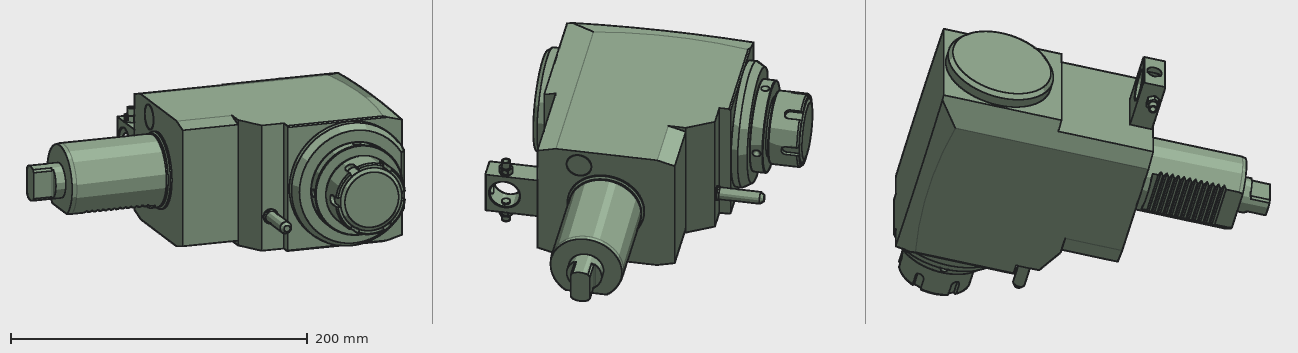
import cadquery as cq
import math


HALF_HEIGHT = 44.0
BACK_Y = 148.0
SPINDLE_Y = 110.0
STEP_Y = 66.0
LEFT_WIDE_X = -55.0
LEFT_X = -47.0
RIGHT_WIDE_X = 73.0
RIGHT_MID_X = 65.2
RIGHT_X = 47.2
SHOULDER_TOP_Y = 50.1
SHOULDER_LOW_Y = 39.7
BEVEL_SLOPE = math.tan(math.radians(15))
LEFT_BEVEL_X = -34.5
RIGHT_BEVEL_X = 35.0
BACK_BEVEL_END_Y = 134.7
BACK_BEVEL_MID_Y = 139.6
EDGE_BEVEL_LENGTH = 1.2
EDGE_BEVEL_DROP = 0.9
PLUG_X = -18.5
PLUG_Z = 32.2
PLUG_RADIUS = 8.6
PLUG_GROOVE_WIDTH = 0.2
PLUG_GROOVE_DEPTH = 0.2

CAP_X = -64.5
CAP_RADIUS = 36.7
CAP_CHAMFER_LENGTH = 3.2
CAP_CHAMFER_DEPTH = 2.5

FLANGE_RADIUS = 43.0
FLANGE_CHAMFER_X = 77.5
FLANGE_END_X = 83.4
FLANGE_END_RADIUS = 39.5
FLANGE_FLAT_DROP = 4.3
RING_RADIUS = 31.5
RING_END_X = 92.6
RING_CHAMFER = 0.5
RING_HOLE_X = 88.3
RING_HOLE_RADIUS = 2.8
RING_HOLE_DEPTH = 2.8
RING_HOLE_COUNT = 4
NECK_RADIUS = 20.6
NUT_X = 94.6
NUT_RADIUS = 25.0
NUT_BEVEL_X = 114.6
NUT_CHAMFER = 0.8
NUT_RIM_X = 115.9
NUT_RIM_RADIUS = 24.0
NUT_END_X = 117.1
NUT_END_RADIUS = 19.3
NUT_SLOT_COUNT = 6
NUT_SLOT_WIDTH = 6.4
NUT_SLOT_X = 104.0
NUT_SLOT_FLOOR = 22.0

COLLAR_RADIUS = 26.4
COLLAR_LENGTH = 2.2
COLLAR_RIM_Y = -1.2
RELIEF_RADIUS = 24.8
RELIEF_END_Y = -3.5
SHANK_RADIUS = 25.0
SHANK_END_Y = -71.0
SHANK_CHAMFER_LENGTH = 3.0
SHANK_CHAMFER_DEPTH = 0.5
FLAT_Z = -20.0
FLAT_START_Y = -8.0
GROOVE_PITCH = 4.0
GROOVE_COUNT = 12
GROOVE_DEPTH = 1.5
GROOVE_HALF_WIDTH = 1.6
FIRST_GROOVE_Y = -13.5
STUB_RADIUS = 12.0
STUB_END_Y = -78.0
TANG_END_Y = -92.0
TANG_HALF_WIDTH = 6.6
TANG_FILLET = 0.9
TANG_CHAMFER_X = 5.2
TANG_CHAMFER_Z = 9.1

BLOCK_X = -83.0
BLOCK_HALF_HEIGHT = 15.0
BLOCK_CHAMFER = 0.7
BLOCK_Y_MIN = 0.8
BLOCK_Y_MAX = 16.2
BORE_X = -69.7
BORE_RADIUS = 10.3
BORE_CHAMFER = 0.5
CROSS_HOLE_Y = 8.6
CROSS_HOLE_RADIUS = 5.0
CROSS_HOLE_END_X = -50.0
PILOT_RADIUS = 1.3
FITTING_Y = 6.1
HEX_ACROSS_CORNERS = 9.3
HEX_TOP_Z = 19.4
STUD_RADIUS = 2.8
STUD_TOP_Z = 24.4
STUD_TIP_Z = 9.0
STUD_HOLE_RADIUS = 2.2
STUD_HOLE_DEPTH = 4.0
HEX_SPOT_RADIUS = 2.2
HEX_SPOT_DEPTH = 1.0

PIN_Y = 56.3
PIN_Z = -20.2
PIN_RADIUS = 4.1
PIN_COLLAR_RADIUS = 5.0
PIN_COLLAR_X = 66.2
PIN_BODY_X = 67.4
PIN_TAPER_X = 95.2
PIN_END_X = 97.8
PIN_END_RADIUS = 2.2


def revolve_along_x(points, y=0.0, z=0.0):
    """Turn an (x, radius) outline about the line parallel to X through (y, z)."""
    profile = cq.Workplane("XY").polyline(points).close()
    return profile.revolve(360, (0, 0, 0), (1, 0, 0)).translate((0, y, z))


def revolve_along_y(points):
    """Turn a (radius, y) outline about the Y axis."""
    return cq.Workplane("XY").polyline(points).close().revolve(360, (0, 0, 0), (0, 1, 0))


def cone_along_z(radius, rim_z, depth):
    """Cone about the Z axis with its point below its rim."""
    profile = cq.Workplane("XZ").polyline([(0, rim_z), (radius, rim_z), (0, rim_z - depth)]).close()
    return profile.revolve(360, (0, 0, 0), (0, 1, 0))


def prism_along_y(points, y_min, y_max):
    """Extrude an (x, z) outline from y_min to y_max."""
    profile = cq.Workplane("XZ", origin=(0, y_max, 0)).polyline(points).close()
    return profile.extrude(y_max - y_min)


def with_mirror(solid):
    """Join a solid with its mirror image below the Z = 0 plane."""
    return solid.union(solid.mirror("XY"))


def back_bevel_cutter():
    """Wedge above the back bevel: an arc edge sinking towards the back."""
    right_end_x = RIGHT_WIDE_X - EDGE_BEVEL_LENGTH
    middle_x = (LEFT_BEVEL_X + right_end_x) / 2
    half_chord = right_end_x - middle_x
    sag = BACK_BEVEL_MID_Y - BACK_BEVEL_END_Y
    radius = (half_chord ** 2 + sag ** 2) / (2 * sag)
    reach = 2 * half_chord
    reach_y = BACK_BEVEL_MID_Y - radius + math.sqrt(radius ** 2 - reach ** 2)
    far_y = BACK_Y + half_chord
    run = 2 * HALF_HEIGHT
    drop = run * BEVEL_SLOPE

    def section(workplane, shift):
        return (
            workplane.moveTo(middle_x - reach, reach_y + shift)
            .threePointArc((middle_x, BACK_BEVEL_MID_Y + shift), (middle_x + reach, reach_y + shift))
            .lineTo(middle_x + reach, far_y + shift)
            .lineTo(middle_x - reach, far_y + shift)
            .close()
        )

    top = section(cq.Workplane("XY", origin=(0, 0, HALF_HEIGHT)), 0)
    return section(top.workplane(offset=-drop), run).loft(ruled=True)


def make_housing():
    outline = [
        (LEFT_X, 0),
        (RIGHT_X, 0),
        (RIGHT_X, SHOULDER_LOW_Y),
        (RIGHT_MID_X, SHOULDER_TOP_Y),
        (RIGHT_MID_X, STEP_Y),
        (RIGHT_WIDE_X, STEP_Y),
        (RIGHT_WIDE_X, BACK_Y),
        (LEFT_WIDE_X, BACK_Y),
        (LEFT_WIDE_X, STEP_Y),
        (LEFT_X, STEP_Y),
    ]
    housing = (
        cq.Workplane("XY", origin=(0, 0, -HALF_HEIGHT))
        .polyline(outline).close().extrude(2 * HALF_HEIGHT)
    )
    left_run = LEFT_BEVEL_X - LEFT_WIDE_X
    left_bevel = prism_along_y(
        [
            (LEFT_BEVEL_X, HALF_HEIGHT),
            (LEFT_WIDE_X, HALF_HEIGHT - left_run * BEVEL_SLOPE),
            (LEFT_WIDE_X, HALF_HEIGHT),
        ],
        0, BACK_Y,
    )
    right_bevel = prism_along_y(
        [
            (RIGHT_BEVEL_X, HALF_HEIGHT),
            (RIGHT_X, HALF_HEIGHT - (RIGHT_X - RIGHT_BEVEL_X) * BEVEL_SLOPE),
            (RIGHT_X, HALF_HEIGHT),
        ],
        0, SHOULDER_LOW_Y,
    )
    edge_bevel = prism_along_y(
        [
            (RIGHT_WIDE_X - EDGE_BEVEL_LENGTH, HALF_HEIGHT),
            (RIGHT_WIDE_X, HALF_HEIGHT - EDGE_BEVEL_DROP),
            (RIGHT_WIDE_X, HALF_HEIGHT),
        ],
        STEP_Y, BACK_Y,
    )
    for cutter in (left_bevel, right_bevel, edge_bevel, back_bevel_cutter()):
        housing = housing.cut(with_mirror(cutter))
    return housing.cut(plug_groove())


def plug_groove():
    """Fine ring groove that outlines the flush plug on the shank face."""
    return (
        cq.Workplane("XZ", origin=(PLUG_X, 0, PLUG_Z))
        .circle(PLUG_RADIUS).circle(PLUG_RADIUS - PLUG_GROOVE_WIDTH)
        .extrude(-PLUG_GROOVE_DEPTH)
    )


def make_cap():
    return revolve_along_x(
        [
            (CAP_X, 0),
            (CAP_X, CAP_RADIUS - CAP_CHAMFER_DEPTH),
            (CAP_X + CAP_CHAMFER_LENGTH, CAP_RADIUS),
            (LEFT_WIDE_X, CAP_RADIUS),
            (LEFT_WIDE_X, 0),
        ],
        y=SPINDLE_Y,
    )


def make_flange():
    """Chamfered flange, trimmed flush with the back of the housing."""
    flange = revolve_along_x(
        [
            (RIGHT_WIDE_X, 0),
            (RIGHT_WIDE_X, FLANGE_RADIUS),
            (FLANGE_CHAMFER_X, FLANGE_RADIUS),
            (FLANGE_END_X, FLANGE_END_RADIUS),
            (FLANGE_END_X, 0),
        ],
        y=SPINDLE_Y,
    )
    front_y = SPINDLE_Y - FLANGE_RADIUS
    envelope = (
        cq.Workplane("XY", origin=(0, 0, -HALF_HEIGHT))
        .polyline(
            [
                (RIGHT_WIDE_X, front_y),
                (FLANGE_END_X, front_y),
                (FLANGE_END_X, BACK_Y - FLANGE_FLAT_DROP),
                (FLANGE_CHAMFER_X, BACK_Y),
                (RIGHT_WIDE_X, BACK_Y),
            ]
        )
        .close().extrude(2 * HALF_HEIGHT)
    )
    return flange.intersect(envelope)


def make_ring_and_nut():
    spindle = revolve_along_x(
        [
            (FLANGE_END_X, 0),
            (FLANGE_END_X, RING_RADIUS - RING_CHAMFER),
            (FLANGE_END_X + RING_CHAMFER, RING_RADIUS),
            (RING_END_X - RING_CHAMFER, RING_RADIUS),
            (RING_END_X, RING_RADIUS - RING_CHAMFER),
            (RING_END_X, NECK_RADIUS),
            (NUT_X, NECK_RADIUS),
            (NUT_X, NUT_RADIUS - NUT_CHAMFER),
            (NUT_X + NUT_CHAMFER, NUT_RADIUS),
            (NUT_BEVEL_X, NUT_RADIUS),
            (NUT_RIM_X, NUT_RIM_RADIUS),
            (NUT_RIM_X, NUT_SLOT_FLOOR),
            (NUT_END_X, NUT_END_RADIUS),
            (NUT_END_X, 0),
        ]
    )
    ring_hole = cone_along_z(RING_HOLE_RADIUS, RING_RADIUS, RING_HOLE_DEPTH).translate((RING_HOLE_X, 0, 0))
    for index in range(RING_HOLE_COUNT):
        spindle = spindle.cut(ring_hole.rotate((0, 0, 0), (1, 0, 0), index * 360 / RING_HOLE_COUNT))

    slot_length = NUT_END_X - NUT_SLOT_X + NUT_SLOT_WIDTH
    slot = (
        cq.Workplane("XZ", origin=(NUT_SLOT_X + slot_length / 2, -NUT_SLOT_FLOOR, 0))
        .slot2D(slot_length, NUT_SLOT_WIDTH).extrude(NUT_RADIUS)
    )
    for index in range(NUT_SLOT_COUNT):
        spindle = spindle.cut(slot.rotate((0, 0, 0), (1, 0, 0), index * 360 / NUT_SLOT_COUNT))
    return spindle.translate((0, SPINDLE_Y, 0))


def make_shank():
    shank = revolve_along_y(
        [
            (0, 0),
            (COLLAR_RADIUS, 0),
            (COLLAR_RADIUS, COLLAR_RIM_Y),
            (RELIEF_RADIUS, -COLLAR_LENGTH),
            (RELIEF_RADIUS, RELIEF_END_Y),
            (SHANK_RADIUS, RELIEF_END_Y),
            (SHANK_RADIUS, SHANK_END_Y + SHANK_CHAMFER_LENGTH),
            (SHANK_RADIUS - SHANK_CHAMFER_DEPTH, SHANK_END_Y),
            (0, SHANK_END_Y),
        ]
    )
    flat_outline = [(FLAT_START_Y, -SHANK_RADIUS), (FLAT_START_Y, FLAT_Z)]
    for index in range(GROOVE_COUNT):
        groove_y = FIRST_GROOVE_Y - index * GROOVE_PITCH
        flat_outline += [
            (groove_y + GROOVE_HALF_WIDTH, FLAT_Z),
            (groove_y, FLAT_Z + GROOVE_DEPTH),
            (groove_y - GROOVE_HALF_WIDTH, FLAT_Z),
        ]
    flat_outline += [(SHANK_END_Y, FLAT_Z), (SHANK_END_Y, -SHANK_RADIUS)]
    flat = (
        cq.Workplane("YZ", origin=(-SHANK_RADIUS, 0, 0))
        .polyline(flat_outline).close().extrude(2 * SHANK_RADIUS)
    )
    return shank.cut(flat)


def make_tang():
    stub = cq.Workplane("XZ", origin=(0, SHANK_END_Y, 0)).circle(STUB_RADIUS)
    stub = stub.extrude(SHANK_END_Y - TANG_END_Y)
    side_cut = (
        cq.Workplane("XY", origin=(0, 0, -STUB_RADIUS))
        .moveTo(STUB_RADIUS, STUB_END_Y)
        .lineTo(TANG_HALF_WIDTH + TANG_FILLET, STUB_END_Y)
        .radiusArc((TANG_HALF_WIDTH, STUB_END_Y - TANG_FILLET), -TANG_FILLET)
        .lineTo(TANG_HALF_WIDTH, TANG_END_Y)
        .lineTo(STUB_RADIUS, TANG_END_Y)
        .close().extrude(2 * STUB_RADIUS)
    )
    round_z = math.sqrt(STUB_RADIUS ** 2 - TANG_CHAMFER_X ** 2)
    edge_cut = with_mirror(
        prism_along_y(
            [
                (TANG_CHAMFER_X, round_z),
                (TANG_HALF_WIDTH, TANG_CHAMFER_Z),
                (TANG_HALF_WIDTH, round_z),
            ],
            TANG_END_Y, STUB_END_Y - TANG_FILLET,
        )
    )
    cutter = side_cut.union(edge_cut)
    return stub.cut(cutter).cut(cutter.mirror("YZ"))


def make_coolant_block():
    block = prism_along_y(
        [
            (BLOCK_X, -BLOCK_HALF_HEIGHT),
            (LEFT_X, -BLOCK_HALF_HEIGHT),
            (LEFT_X, BLOCK_HALF_HEIGHT),
            (BLOCK_X, BLOCK_HALF_HEIGHT),
        ],
        BLOCK_Y_MIN, BLOCK_Y_MAX,
    )
    block = block.edges("|Z and <X").chamfer(BLOCK_CHAMFER)
    bore_outer = BORE_RADIUS + BORE_CHAMFER
    bore = revolve_along_y(
        [
            (0, BLOCK_Y_MIN),
            (bore_outer, BLOCK_Y_MIN),
            (BORE_RADIUS, BLOCK_Y_MIN + BORE_CHAMFER),
            (BORE_RADIUS, BLOCK_Y_MAX - BORE_CHAMFER),
            (bore_outer, BLOCK_Y_MAX),
            (0, BLOCK_Y_MAX),
        ]
    )
    block = block.cut(bore.translate((BORE_X, 0, 0)))
    cross_hole_start = cq.Workplane("YZ", origin=(BLOCK_X, CROSS_HOLE_Y, 0))
    cross_hole = cross_hole_start.circle(CROSS_HOLE_RADIUS).extrude(CROSS_HOLE_END_X - BLOCK_X)
    pilot = cross_hole_start.circle(PILOT_RADIUS).extrude(LEFT_X - BLOCK_X)
    return block.cut(cross_hole).cut(pilot).union(with_mirror(make_fitting()))


def make_fitting():
    """Upper hexagon fitting, with a stud that reaches into the bore."""
    axis = cq.Workplane("XY", origin=(BORE_X, FITTING_Y, BLOCK_HALF_HEIGHT))
    hexagon = axis.polygon(6, HEX_ACROSS_CORNERS).extrude(HEX_TOP_Z - BLOCK_HALF_HEIGHT)
    stud = (
        cq.Workplane("XY", origin=(BORE_X, FITTING_Y, STUD_TIP_Z))
        .circle(STUD_RADIUS).extrude(STUD_TOP_Z - STUD_TIP_Z)
    )
    stud_hole = cone_along_z(STUD_HOLE_RADIUS, STUD_TOP_Z, STUD_HOLE_DEPTH)
    flat_y = FITTING_Y - HEX_ACROSS_CORNERS / 2 * math.cos(math.radians(30))
    spot = (
        cq.Workplane("XZ", origin=(BORE_X, flat_y, (BLOCK_HALF_HEIGHT + HEX_TOP_Z) / 2))
        .circle(HEX_SPOT_RADIUS).extrude(-HEX_SPOT_DEPTH)
    )
    return hexagon.union(stud).cut(stud_hole.translate((BORE_X, FITTING_Y, 0))).cut(spot)


def make_pin():
    return revolve_along_x(
        [
            (RIGHT_MID_X, 0),
            (RIGHT_MID_X, PIN_COLLAR_RADIUS),
            (PIN_COLLAR_X, PIN_COLLAR_RADIUS),
            (PIN_BODY_X, PIN_RADIUS),
            (PIN_TAPER_X, PIN_RADIUS),
            (PIN_END_X, PIN_END_RADIUS),
            (PIN_END_X, 0),
        ],
        y=PIN_Y, z=PIN_Z,
    )


result = make_housing()
for feature in (
    make_cap(),
    make_flange(),
    make_ring_and_nut(),
    make_shank(),
    make_tang(),
    make_coolant_block(),
    make_pin(),
):
    result = result.union(feature)